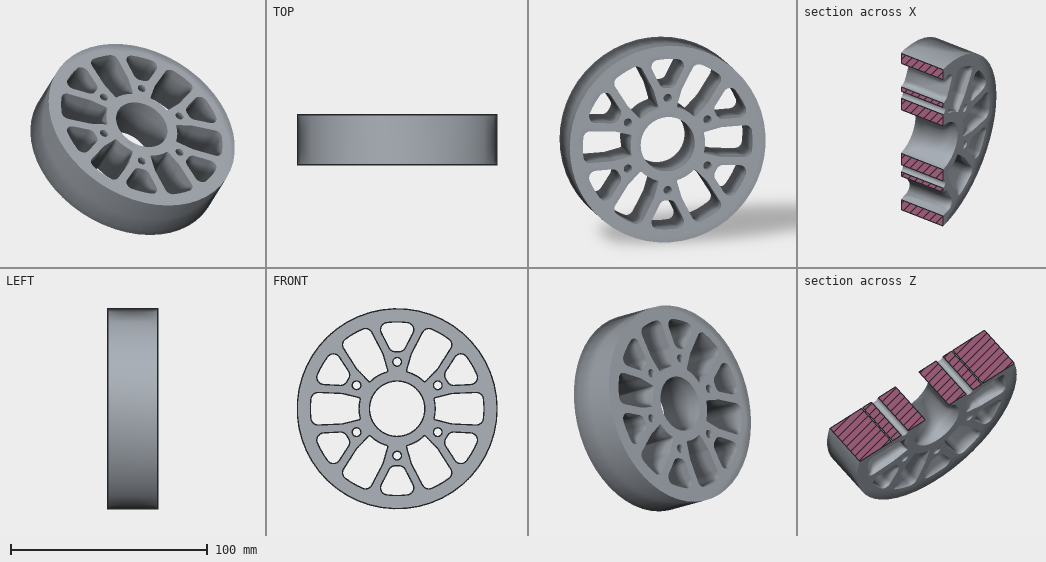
import cadquery as cq
import math

wheel_diameter = 101.6
wheel_width = 25.4
bore_diameter = 28.0

spoke_count = 6
hole_diameter = 4.3
hole_circle_diameter = 47.6

rim_inner_radius = 44.0
corner_radius = 3.6

hub_radius = 19.4
hub_corner_radius = 0.7
long_hub_half_width = 5.4
long_bend_x = 27.8
long_bend_half_width = 7.68
long_rim_half_width = 8.35

short_inner_radius = 29.0
short_inner_half_width = 3.15
short_side_angle = 27.0

pitch_angle = 360.0 / spoke_count
first_hole_angle = pitch_angle / 2

back_plane = cq.Plane.XZ((0, wheel_width / 2, 0))


def x_on_circle(radius, z):
    """X of the point at height z on a circle about the axis."""
    return math.sqrt(radius**2 - z**2)


def cylinder(diameter):
    """Full-width cylinder about the wheel axis."""
    return cq.Workplane(back_plane).circle(diameter / 2).extrude(wheel_width)


def repeat_around_axis(shape, first_angle):
    """One copy of the shape per spoke, the first turned by first_angle from +X."""
    copies = cq.Workplane("XZ")
    for index in range(spoke_count):
        angle = first_angle + index * pitch_angle
        copies = copies.add(shape.rotate((0, 0, 0), (0, -1, 0), angle))
    return copies.combine()


def long_window():
    """Cutter along +X: hub arc, two bent sides and a rim arc, all corners rounded."""
    hub_x = x_on_circle(hub_radius, long_hub_half_width)
    rim_x = x_on_circle(rim_inner_radius, long_rim_half_width)
    cutter = (
        cq.Workplane(back_plane)
        .moveTo(hub_x, -long_hub_half_width)
        .lineTo(long_bend_x, -long_bend_half_width)
        .lineTo(rim_x, -long_rim_half_width)
        .threePointArc((rim_inner_radius, 0), (rim_x, long_rim_half_width))
        .lineTo(long_bend_x, long_bend_half_width)
        .lineTo(hub_x, long_hub_half_width)
        .threePointArc((hub_radius, 0), (hub_x, -long_hub_half_width))
        .close()
        .extrude(wheel_width)
    )
    hub_limit_x = (hub_x + long_bend_x) / 2
    cutter = cutter.edges("|Y").filter(lambda edge: edge.Center().x > hub_limit_x).fillet(corner_radius)
    return cutter.edges("|Y").filter(lambda edge: edge.Center().x < hub_limit_x).fillet(hub_corner_radius)


def short_window():
    """Cutter along +X: rounded wedge that widens towards the rim."""
    inner_x = short_inner_radius
    slope = math.tan(math.radians(short_side_angle))
    offset = short_inner_half_width - slope * inner_x
    root = math.sqrt(rim_inner_radius**2 * (1 + slope**2) - offset**2)
    rim_x = (root - slope * offset) / (1 + slope**2)
    rim_half_width = slope * rim_x + offset
    return (
        cq.Workplane(back_plane)
        .moveTo(inner_x, -short_inner_half_width)
        .lineTo(rim_x, -rim_half_width)
        .threePointArc((rim_inner_radius, 0), (rim_x, rim_half_width))
        .lineTo(inner_x, short_inner_half_width)
        .close()
        .extrude(wheel_width)
        .edges("|Y")
        .fillet(corner_radius)
    )


def fastener_hole():
    """Cutter for one hole, on +X at the hole circle."""
    return cylinder(hole_diameter).translate((hole_circle_diameter / 2, 0, 0))


result = (
    cylinder(wheel_diameter)
    .cut(cylinder(bore_diameter))
    .cut(repeat_around_axis(fastener_hole(), first_hole_angle))
    .cut(repeat_around_axis(long_window(), 0))
    .cut(repeat_around_axis(short_window(), first_hole_angle))
)